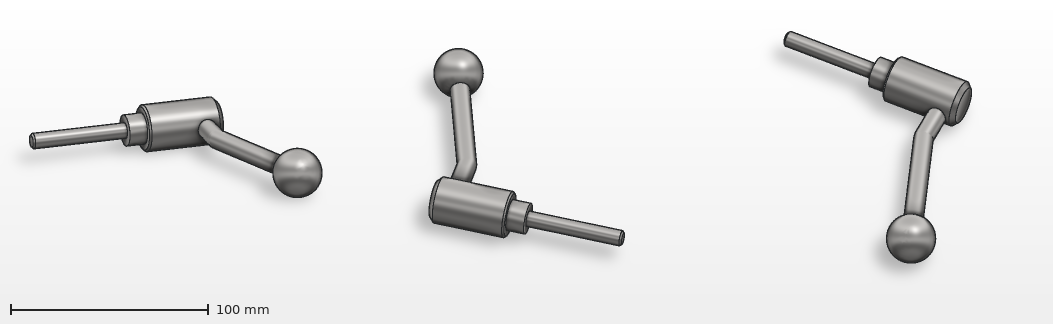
import cadquery as cq
import math

hub_diameter = 24.0
hub_length = 40.0
hub_top_chamfer = 2.5
hub_bottom_chamfer = 1.0
collar_diameter = 16.0
collar_length = 9.4
stud_diameter = 8.0
stud_length = 50.0
stud_tip_chamfer = 1.0

arm_diameter = 10.0
arm_angle = 20.0
arm_bend_x = 27.0
arm_bend_radius = 1.4
ball_diameter = 25.0
ball_x = 88.0
ball_y = 12.76

bend_angle = math.radians(arm_angle)
bend_end_x = arm_bend_x + arm_bend_radius * math.sin(bend_angle)
bend_end_y = ball_y - (ball_x - bend_end_x) * math.tan(bend_angle)
arm_y = bend_end_y - arm_bend_radius * (1 - math.cos(bend_angle))
pivot_y = arm_y + arm_bend_radius


def shaft(start_y, diameter, length):
    """Cylinder on the Y axis running from start_y toward -Y."""
    return cq.Workplane("XZ", origin=(0, start_y, 0)).circle(diameter / 2).extrude(length)


def make_hub():
    hub = shaft(0, hub_diameter, hub_length)
    hub = hub.faces(">Y").chamfer(hub_top_chamfer)
    return hub.faces("<Y").chamfer(hub_bottom_chamfer)


def make_collar():
    return shaft(-hub_length, collar_diameter, collar_length)


def make_stud():
    stud = shaft(-hub_length - collar_length, stud_diameter, stud_length)
    return stud.faces("<Y").chamfer(stud_tip_chamfer)


def rod(start, end):
    """Round arm section with flat ends between two points in the XY plane."""
    direction = end - start
    return cq.Workplane(cq.Solid.makeCylinder(arm_diameter / 2, direction.Length, start, direction))


def make_elbow():
    """Outer side of the bend, turned about a pivot line parallel to Z that crosses the rod section."""
    half_chord = math.sqrt((arm_diameter / 2) ** 2 - arm_bend_radius**2)
    section = (
        cq.Workplane("YZ", origin=(arm_bend_x, pivot_y, 0))
        .moveTo(0, -half_chord)
        .threePointArc((-arm_bend_radius - arm_diameter / 2, 0), (0, half_chord))
        .close()
    )
    return section.revolve(arm_angle, (0, -1), (0, 1))


def make_arm():
    """Two straight rods joined by the elbow, from the hub axis to the ball."""
    hub_axis = cq.Vector(0, arm_y, 0)
    bend_start = cq.Vector(arm_bend_x, arm_y, 0)
    bend_end = cq.Vector(bend_end_x, bend_end_y, 0)
    ball_center = cq.Vector(ball_x, ball_y, 0)
    ball = cq.Workplane("XY").sphere(ball_diameter / 2).translate(ball_center)
    return rod(hub_axis, bend_start).union(rod(bend_end, ball_center)).union(make_elbow()).union(ball)


result = make_hub().union(make_collar()).union(make_stud()).union(make_arm())